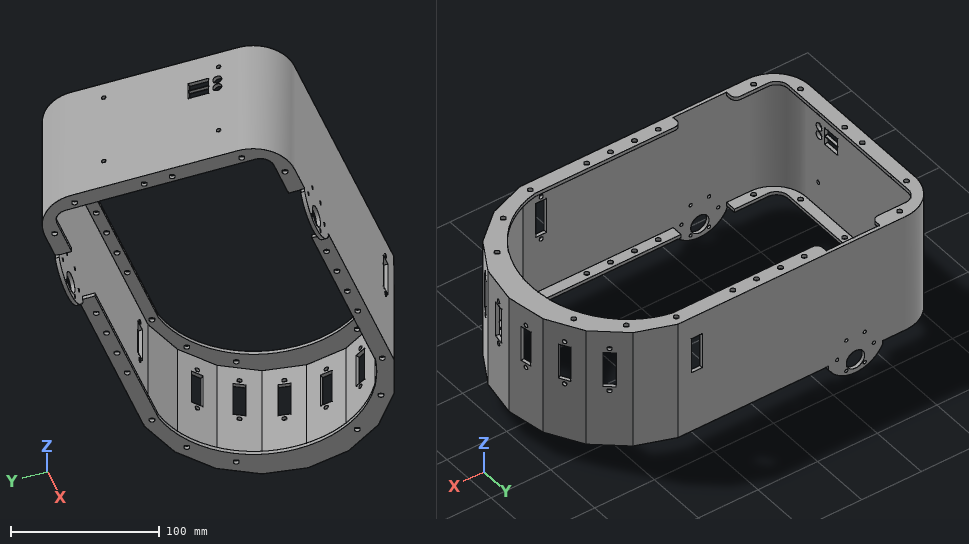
import cadquery as cq
import math

LENGTH = 296.3
WIDTH = 180.0
HEIGHT = 100.0
WALL = 3.0
CORNER_RADIUS = 30.0
HALF_WIDTH = WIDTH / 2

FACET_ANGLE = 20
HALF_FACET = math.radians(FACET_ANGLE / 2)
LAST_VERTEX_ANGLE = 90 - FACET_ANGLE // 2
END_CENTER_X = LENGTH - HALF_WIDTH / math.cos(HALF_FACET)

RIM_WIDTH = 12.0
RIM_THICKNESS = 3.0
OPENING_HALF_WIDTH = HALF_WIDTH - RIM_WIDTH
OPENING_END_REACH = 72.0
OPENING_END_HALF_HEIGHT = 79.0
OPENING_CORNER_RADIUS = 9.8

RIM_HOLE_DIAMETER = 4.0
END_HOLE_X = 7.5
SIDE_HOLE_Y = 83.0
SIDE_HOLES_X = [30.0, 110.0, 129.8, 150.0, 169.8, 217.2]
FLAT_END_HOLES_Y = [10.0, 60.2]
ROUND_END_HOLES = [(249.5, 70.0), (274.0, 43.5)]

MOTOR_X = 72.0
NOTCH_WIDTH = 44.7
NOTCH_CORNER_RADIUS = 5.0
LUG_WIDTH = 45.5
LUG_DROP = 16.5
LUG_RADIUS = 25.8
SHAFT_HOLE_DIAMETER = 15.0
SHAFT_HOLE_Z = -5.0
MOTOR_SCREW_DIAMETER = 2.55
MOTOR_SCREW_COUNT = 6
MOTOR_SCREW_CIRCLE_RADIUS = 15.5
MOTOR_SCREW_CENTER_Z = 2.0

BLIND_SCREW_ANGLE = 90
SENSOR_ANGLES = [-90, -50, -30, -10, 10, 30, 50, BLIND_SCREW_ANGLE]
SENSOR_Z = 66.5
SENSOR_SLOT_WIDTH = 9.0
SENSOR_SLOT_HEIGHT = 29.5
SENSOR_SCREW_SPACING = 37.0
SENSOR_SCREW_DIAMETER = 3.3
BLIND_SCREW_DEPTH = 0.3

PORT_Y = -31.7
PORT_WIDTH = 14.5
PORT_HEIGHT = 6.8
JACK_Y = -45.3
JACK_DIAMETER = 6.2
CONNECTOR_Z = 70.5
CONNECTOR_SPACING = 7.5
BOARD_SCREW_DIAMETER = 3.0
BOARD_SCREWS_Y = [-46.2, 36.5]
BOARD_SCREWS_Z = [25.0, 86.2]


def housing_outline(inset):
    """Closed outline of the housing, moved inward by the given inset."""
    half_width = HALF_WIDTH - inset
    radius = CORNER_RADIUS - inset
    arc_inset = radius * (1 - math.sqrt(0.5))
    vertex_radius = half_width / math.cos(HALF_FACET)
    outline = cq.Workplane("XY").moveTo(CORNER_RADIUS, -half_width)
    for degrees in range(-LAST_VERTEX_ANGLE, LAST_VERTEX_ANGLE + 1, FACET_ANGLE):
        angle = math.radians(degrees)
        outline = outline.lineTo(
            END_CENTER_X + vertex_radius * math.cos(angle),
            vertex_radius * math.sin(angle),
        )
    return (
        outline.lineTo(CORNER_RADIUS, half_width)
        .threePointArc((inset + arc_inset, half_width - arc_inset), (inset, half_width - radius))
        .lineTo(inset, radius - half_width)
        .threePointArc((inset + arc_inset, arc_inset - half_width), (CORNER_RADIUS, -half_width))
        .close()
    )


def rim_opening():
    """Through opening inside the rims: a rectangle with an elliptical end.

    The ellipse is slightly taller than the rectangle and is trimmed level with its sides.
    """
    straight_length = END_CENTER_X - RIM_WIDTH
    straight = (
        cq.Workplane("XY")
        .center(RIM_WIDTH + straight_length / 2, 0)
        .rect(straight_length, 2 * OPENING_HALF_WIDTH)
        .extrude(HEIGHT)
        .edges("|Z and <X")
        .fillet(OPENING_CORNER_RADIUS)
    )
    rounded = (
        cq.Workplane("XY")
        .center(END_CENTER_X, 0)
        .ellipse(OPENING_END_REACH, OPENING_END_HALF_HEIGHT)
        .extrude(HEIGHT)
    )
    side_limits = cq.Workplane("XY").box(
        2 * LENGTH, 2 * OPENING_HALF_WIDTH, HEIGHT, centered=(True, True, False)
    )
    return straight.union(rounded.intersect(side_limits))


def motor_notch():
    """Gap in both rims, reaching from one side wall to the other."""
    return cq.Workplane("XY").center(MOTOR_X, 0).rect(NOTCH_WIDTH, WIDTH - 2 * WALL).extrude(HEIGHT)


def round_notch_corners(body):
    """Round the free corners that the motor notch leaves on the top rim."""
    for x in (MOTOR_X - NOTCH_WIDTH / 2, MOTOR_X + NOTCH_WIDTH / 2):
        for y in (-OPENING_HALF_WIDTH, OPENING_HALF_WIDTH):
            corner = cq.selectors.BoxSelector(
                (x - WALL / 2, y - WALL / 2, HEIGHT - RIM_THICKNESS),
                (x + WALL / 2, y + WALL / 2, HEIGHT),
            )
            body = body.edges("|Z").edges(corner).fillet(NOTCH_CORNER_RADIUS)
    return body


def rim_holes():
    """Screw holes through both rims, mirrored about the X axis."""
    points = [(x, SIDE_HOLE_Y) for x in SIDE_HOLES_X]
    points += [(END_HOLE_X, y) for y in FLAT_END_HOLES_Y]
    points += ROUND_END_HOLES
    points += [(x, -y) for x, y in points]
    return cq.Workplane("XY").pushPoints(points).circle(RIM_HOLE_DIAMETER / 2).extrude(HEIGHT)


def motor_lugs():
    """Arc-ended lugs hanging flush below the two side walls."""
    drop_to_arc_start = LUG_DROP - LUG_RADIUS + math.sqrt(LUG_RADIUS**2 - (LUG_WIDTH / 2) ** 2)
    left = MOTOR_X - LUG_WIDTH / 2
    right = MOTOR_X + LUG_WIDTH / 2
    lug = (
        cq.Workplane("XZ", origin=(0, -HALF_WIDTH + WALL, 0))
        .moveTo(left, WALL)
        .lineTo(left, -drop_to_arc_start)
        .threePointArc((MOTOR_X, -LUG_DROP), (right, -drop_to_arc_start))
        .lineTo(right, WALL)
        .close()
        .extrude(WALL)
    )
    return lug.union(lug.mirror("XZ"))


def motor_holes():
    """Shaft hole and screw circle, cut across both lugs."""
    plane = cq.Workplane("XZ")
    shaft = (
        plane.center(MOTOR_X, SHAFT_HOLE_Z)
        .circle(SHAFT_HOLE_DIAMETER / 2)
        .extrude(HALF_WIDTH, both=True)
    )
    screws = (
        plane.center(MOTOR_X, MOTOR_SCREW_CENTER_Z)
        .polarArray(MOTOR_SCREW_CIRCLE_RADIUS, 0, 360, MOTOR_SCREW_COUNT)
        .circle(MOTOR_SCREW_DIAMETER / 2)
        .extrude(HALF_WIDTH, both=True)
    )
    return shaft.union(screws)


def sensor_cut(angle):
    """Slot and two screw holes in the wall that faces the given direction.

    The slot always passes through. The screw holes do too, except in the +Y side wall,
    where they are shallow recesses in its inner face.
    """
    inner_distance = HALF_WIDTH - 2 * WALL
    depth = 3 * WALL
    screw_depth = WALL + BLIND_SCREW_DEPTH if angle == BLIND_SCREW_ANGLE else depth
    plane = cq.Workplane("YZ", origin=(inner_distance, 0, SENSOR_Z))
    slot = plane.rect(SENSOR_SLOT_WIDTH, SENSOR_SLOT_HEIGHT).extrude(depth)
    screws = (
        plane.rarray(3, SENSOR_SCREW_SPACING, 1, 2)
        .circle(SENSOR_SCREW_DIAMETER / 2)
        .extrude(screw_depth)
    )
    cut = slot.union(screws)
    return cut.rotate((0, 0, 0), (0, 0, 1), angle).translate((END_CENTER_X, 0, 0))


def connector_cuts():
    """Two stacked ports, two stacked jacks and four board screws in the flat end wall."""
    depth = 2 * WALL
    wall_plane = cq.Workplane("YZ")
    ports = (
        wall_plane.center(PORT_Y, CONNECTOR_Z)
        .rarray(3, CONNECTOR_SPACING, 1, 2)
        .rect(PORT_WIDTH, PORT_HEIGHT)
        .extrude(depth)
    )
    jacks = (
        wall_plane.center(JACK_Y, CONNECTOR_Z)
        .rarray(3, CONNECTOR_SPACING, 1, 2)
        .circle(JACK_DIAMETER / 2)
        .extrude(depth)
    )
    screw_points = [(y, z) for y in BOARD_SCREWS_Y for z in BOARD_SCREWS_Z]
    screws = wall_plane.pushPoints(screw_points).circle(BOARD_SCREW_DIAMETER / 2).extrude(depth)
    return ports.union(jacks).union(screws)


cavity = housing_outline(WALL).extrude(HEIGHT - 2 * RIM_THICKNESS).translate((0, 0, RIM_THICKNESS))

result = housing_outline(0).extrude(HEIGHT).cut(cavity).cut(rim_opening()).cut(motor_notch())
result = round_notch_corners(result)
result = result.cut(rim_holes()).union(motor_lugs()).cut(motor_holes()).cut(connector_cuts())
for sensor_angle in SENSOR_ANGLES:
    result = result.cut(sensor_cut(sensor_angle))